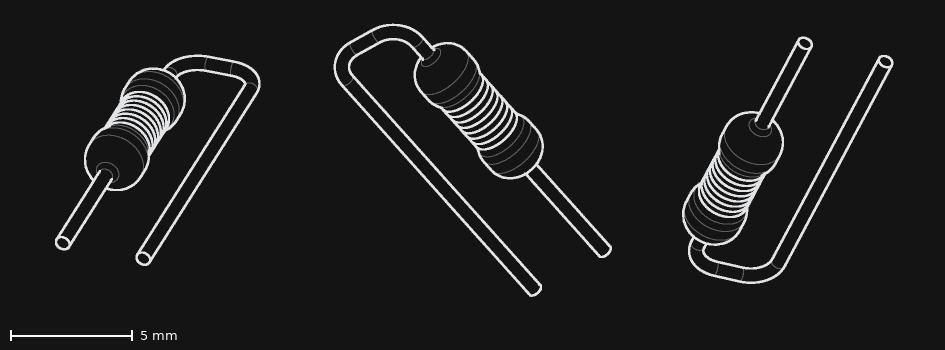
import cadquery as cq
import math


length = 14.9
wire_diameter = 0.6
wire_radius = wire_diameter / 2
lead_spacing = 3.5
bend_radius = 1.19
wire_top = 5.9
lead_end = wire_top - length
bridge_y = wire_top - wire_radius
bend_start = bridge_y - bend_radius

cap_radius = 2.5 / 2
band_radius = 2.15 / 2
neck_radius = 2.13 / 2
neck_half_length = 1.2
cap_inner = 1.94
cap_outer = 2.52
dome_radius = 0.9
collar_fillet = 0.22
band_count = 4


def arc_middle(start, end, center):
    """Point halfway along the short arc from start to end around center."""
    middle_x = (start[0] + end[0]) / 2 - center[0]
    middle_y = (start[1] + end[1]) / 2 - center[1]
    stretch = math.dist(start, center) / math.hypot(middle_x, middle_y)
    return (center[0] + middle_x * stretch, center[1] + middle_y * stretch)


def make_end_cap():
    """Solid of revolution from the end of the neck to the collar on the lead."""
    half_run = (cap_inner - neck_half_length) / 2
    half_rise = (cap_radius - neck_radius) / 2
    shoulder_radius = (half_run**2 + half_rise**2) / (2 * half_rise)
    neck_end = (neck_radius, neck_half_length)
    shoulder_middle = (neck_radius + half_rise, neck_half_length + half_run)
    cap_start = (cap_radius, cap_inner)
    concave_center = (neck_radius + shoulder_radius, neck_half_length)
    convex_center = (cap_radius - shoulder_radius, cap_inner)

    dome_start = (cap_radius, cap_outer)
    dome_center = (cap_radius - dome_radius, cap_outer)
    center_distance = dome_radius + collar_fillet
    fillet_x = wire_radius + collar_fillet
    offset_x = fillet_x - dome_center[0]
    offset_y = math.sqrt(center_distance**2 - offset_x**2)
    fillet_center = (fillet_x, cap_outer + offset_y)
    share = dome_radius / center_distance
    dome_end = (dome_center[0] + offset_x * share, cap_outer + offset_y * share)
    collar_end = (wire_radius, fillet_center[1])

    profile = (
        cq.Workplane("XY")
        .moveTo(0, neck_half_length)
        .lineTo(*neck_end)
        .threePointArc(arc_middle(neck_end, shoulder_middle, concave_center), shoulder_middle)
        .threePointArc(arc_middle(shoulder_middle, cap_start, convex_center), cap_start)
        .lineTo(*dome_start)
        .threePointArc(arc_middle(dome_start, dome_end, dome_center), dome_end)
        .threePointArc(arc_middle(dome_end, collar_end, fillet_center), collar_end)
        .lineTo(0, collar_end[1])
        .close()
    )
    return profile.revolve(360, (0, 0, 0), (0, 1, 0))


def make_neck():
    """Plain cylinder between the two end caps."""
    start = cq.Workplane("XZ", origin=(0, -neck_half_length, 0))
    return start.circle(neck_radius).extrude(-2 * neck_half_length)


def add_bands(body):
    """Slightly raised colour bands from one end of the neck to the other, with equal gaps."""
    pitch = 2 * neck_half_length / (2 * band_count - 1)
    for index in range(band_count):
        band_start = -neck_half_length + 2 * index * pitch
        band = cq.Workplane("XZ", origin=(0, band_start, 0)).circle(band_radius).extrude(-pitch)
        body = body.union(band)
    return body


def make_wire():
    """Round wire through the body, bent over and back alongside it."""
    path = (
        cq.Workplane("XY")
        .moveTo(0, lead_end)
        .lineTo(0, bend_start)
        .radiusArc((bend_radius, bridge_y), bend_radius)
        .lineTo(lead_spacing - bend_radius, bridge_y)
        .radiusArc((lead_spacing, bend_start), bend_radius)
        .lineTo(lead_spacing, lead_end)
    )
    section = cq.Workplane("XZ", origin=(0, lead_end, 0)).circle(wire_radius)
    return section.sweep(path)


end_cap = make_end_cap()
body = make_neck().union(end_cap).union(end_cap.mirror("XZ"))
result = add_bands(body).union(make_wire())